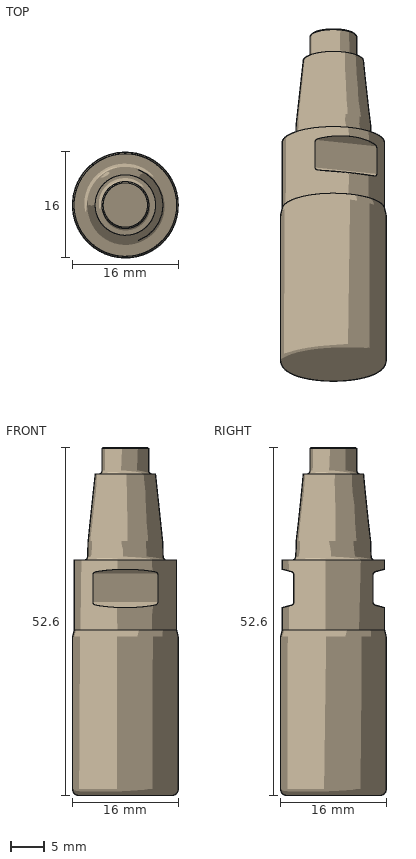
import cadquery as cq
import math

sleeve_radius = 8.0
sleeve_length = 25.0
sleeve_bottom_fillet = 1.0
sleeve_chamfer_height = 1.0

collar_radius = 7.75
collar_length = 10.6
neck_top_radius = 5.65
neck_base_radius = 5.73
neck_length = 2.8
taper_top_radius = 4.57
taper_length = 10.2
tip_radius = 3.55
tip_length = 4.0
tip_chamfer = 0.2
root_fillet = 0.5

across_flats = 12.0
flat_height = 4.85
flat_center_below_shoulder = 4.3
flat_wall_angle = 15.0
flat_corner_fillet = 0.45

shoulder_z = sleeve_length + collar_length
neck_top_z = shoulder_z + neck_length
taper_top_z = neck_top_z + taper_length
tip_top_z = taper_top_z + tip_length
flat_center_z = shoulder_z - flat_center_below_shoulder


def revolve_about_z(profile):
    """Turn a closed half profile, drawn as (radius, z), about the Z axis."""
    return profile.close().revolve(360, (0, 0), (0, 1))


def make_sleeve():
    """Cylinder with a rounded bottom edge and a steep chamfer up to the collar."""
    profile = (
        cq.Workplane("XZ")
        .lineTo(sleeve_radius, 0)
        .lineTo(sleeve_radius, sleeve_length - sleeve_chamfer_height)
        .lineTo(collar_radius, sleeve_length)
        .lineTo(0, sleeve_length)
    )
    return revolve_about_z(profile).faces("<Z").edges().fillet(sleeve_bottom_fillet)


def make_stem_blank():
    """Turned stem with concave fillets at the roots of the neck and the tip."""
    profile = (
        cq.Workplane("XZ")
        .moveTo(0, sleeve_length)
        .lineTo(collar_radius, sleeve_length)
        .lineTo(collar_radius, shoulder_z)
        .lineTo(neck_base_radius + root_fillet, shoulder_z)
        .radiusArc((neck_base_radius, shoulder_z + root_fillet), root_fillet)
        .lineTo(neck_top_radius, neck_top_z)
        .lineTo(taper_top_radius, taper_top_z)
        .lineTo(tip_radius + root_fillet, taper_top_z)
        .radiusArc((tip_radius, taper_top_z + root_fillet), root_fillet)
        .lineTo(tip_radius, tip_top_z - tip_chamfer)
        .lineTo(tip_radius - tip_chamfer, tip_top_z)
        .lineTo(0, tip_top_z)
    )
    return revolve_about_z(profile)


def make_flat_cutter(side):
    """Trapezoidal groove, widening outward, on the +Y (side=1) or -Y (side=-1) face."""
    flat_y = across_flats / 2
    outer_y = sleeve_radius
    flat_half = flat_height / 2
    mouth_half = flat_half + (outer_y - flat_y) * math.tan(math.radians(flat_wall_angle))
    groove_profile = [
        (side * flat_y, flat_center_z - flat_half),
        (side * outer_y, flat_center_z - mouth_half),
        (side * outer_y, flat_center_z + mouth_half),
        (side * flat_y, flat_center_z + flat_half),
    ]
    cutter = cq.Workplane("YZ").polyline(groove_profile).close().extrude(sleeve_radius, both=True)
    floor_selector = "<Y" if side > 0 else ">Y"
    return cutter.faces(floor_selector).edges("|X").fillet(flat_corner_fillet)


def make_stem():
    """Stem blank with a wrench flat cut into its front and back."""
    stem = make_stem_blank()
    for side in (-1, 1):
        stem = stem.cut(make_flat_cutter(side))
    return stem


sleeve = make_sleeve()
stem = make_stem()

result = cq.Compound.makeCompound([sleeve.solids().val(), stem.solids().val()])